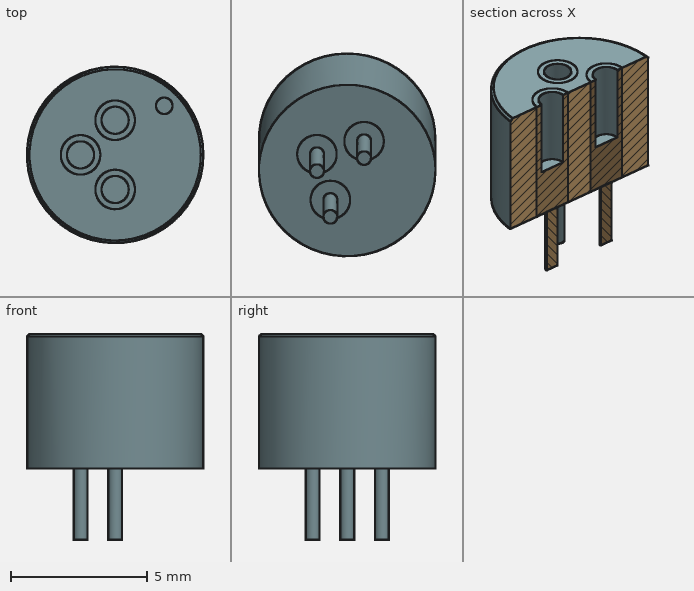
import cadquery as cq

total_height = 7.56
housing_diameter = 6.48
housing_height = 4.945
rim_chamfer = 0.1

contact_pitch_radius = 1.27
socket_diameter = 1.45
bore_diameter = 1.0
bore_depth = 3.025
pin_diameter = 0.515
pin_length = total_height - housing_height

contact_positions = [
    (0, contact_pitch_radius),
    (-contact_pitch_radius, 0),
    (0, -contact_pitch_radius),
]

marker_diameter = 0.605
marker_thickness = 0.1
marker_offset = 1.8
marker_position = (marker_offset, marker_offset)


def cylinder(diameter, bottom, height, position=(0, 0)):
    """Upright cylinder standing on the level `bottom`."""
    return (
        cq.Workplane("XY", origin=(*position, bottom))
        .circle(diameter / 2)
        .extrude(height)
    )


def make_marker():
    """Thin disc whose upper face is level with the housing top."""
    bottom = housing_height - marker_thickness
    return cylinder(marker_diameter, bottom, marker_thickness, marker_position)


def make_housing():
    """Chamfered cylinder with seats for the sockets and the marker."""
    body = cylinder(housing_diameter, 0, housing_height)
    body = body.faces(">Z").chamfer(rim_chamfer)
    for position in contact_positions:
        body = body.cut(cylinder(socket_diameter, 0, housing_height, position))
    return body.cut(make_marker())


def make_socket(position):
    """Cylindrical cup, open at the top."""
    cup = cylinder(socket_diameter, 0, housing_height, position)
    bore_floor = housing_height - bore_depth
    return cup.cut(cylinder(bore_diameter, bore_floor, bore_depth, position))


def make_pin(position):
    """Straight pin that butts against the socket's underside."""
    return cylinder(pin_diameter, -pin_length, pin_length, position)


housing = make_housing()
marker = make_marker()
sockets = [make_socket(position) for position in contact_positions]
pins = [make_pin(position) for position in contact_positions]

result = cq.Compound.makeCompound(
    [
        housing.val(),
        marker.val(),
        *[socket.val() for socket in sockets],
        *[pin.val() for pin in pins],
    ]
)